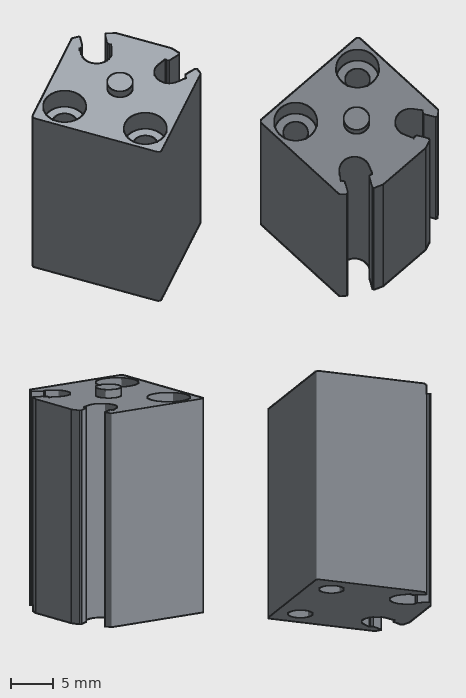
import cadquery as cq
import math

side = 16.0
half_side = side / 2
total_height = 26.5
rod_exposed = 1.0
housing_height = total_height - rod_exposed

front_corner_radius = 0.4
side_corner_radius = 0.3
rear_flat_half_width = 3.45
side_flat_end_y = 5.43

mount_offset = 5.0
mount_hole_diameter = 2.9
counterbore_diameter = 5.0
counterbore_depth = 2.75

slot_center_x = 4.53
slot_center_y = 4.35
slot_angle = 60.0
slot_radius = 1.78
flank_half_width = 1.9
flank_end = 0.93
lip_half_width = 1.45
lip_start = 0.98
lip_bevel = 0.2
mouth_face = 2.8
mouth_bevel = 0.15
mouth_half_width = lip_half_width + mouth_bevel
cutter_end = mouth_face + 1.32

rod_diameter = 3.0


def slot_point(along, across):
    """Plan position of a point given along and across the right-hand slot axis."""
    axis_x = math.cos(math.radians(slot_angle))
    axis_y = math.sin(math.radians(slot_angle))
    x = slot_center_x + along * axis_x + across * axis_y
    y = slot_center_y + along * axis_y - across * axis_x
    return (x, y)


def make_block():
    """Square block whose rear corners slope away to the slot mouths."""
    side_corner = (half_side, side_flat_end_y)
    right_edge = [
        (half_side, -half_side),
        side_corner,
        slot_point(mouth_face, mouth_half_width),
        slot_point(mouth_face, -mouth_half_width),
        (rear_flat_half_width, half_side),
    ]
    left_edge = [(-x, y) for x, y in reversed(right_edge)]
    block = cq.Workplane("XY").polyline(right_edge + left_edge).close().extrude(housing_height)
    block = block.edges("|Z and <Y").fillet(front_corner_radius)
    for x in (-half_side, half_side):
        side_edge_middle = (x, side_corner[1], housing_height / 2)
        block = block.edges(cq.NearestToPointSelector(side_edge_middle)).fillet(side_corner_radius)
    return block


def make_slot_cutter():
    """Full-height cutter for the right-hand slot."""
    reach = math.hypot(flank_end, flank_half_width)
    tangent_angle = math.atan2(flank_half_width, flank_end) + math.acos(slot_radius / reach)
    tangent_along = slot_radius * math.cos(tangent_angle)
    tangent_across = slot_radius * math.sin(tangent_angle)

    wall = [
        (flank_end, flank_half_width),
        (lip_start, lip_half_width + lip_bevel),
        (lip_start + lip_bevel, lip_half_width),
        (mouth_face - mouth_bevel, lip_half_width),
        (mouth_face, mouth_half_width),
        (cutter_end, mouth_half_width),
    ]
    right_wall = [slot_point(along, across) for along, across in wall]
    left_wall = [slot_point(along, -across) for along, across in reversed(wall)]
    return (
        cq.Workplane("XY")
        .moveTo(*slot_point(tangent_along, -tangent_across))
        .threePointArc(slot_point(-slot_radius, 0), slot_point(tangent_along, tangent_across))
        .polyline(right_wall + left_wall, includeCurrent=True)
        .close()
        .extrude(housing_height)
    )


def make_housing():
    slot = make_slot_cutter()
    housing = make_block().cut(slot).cut(slot.mirror("YZ"))
    mounts = [(-mount_offset, -mount_offset), (mount_offset, -mount_offset)]
    return (
        housing.faces(">Z")
        .workplane(origin=(0, 0, housing_height))
        .pushPoints(mounts)
        .cboreHole(mount_hole_diameter, counterbore_diameter, counterbore_depth)
    )


def make_rod():
    """Round rod end standing on the top face of the housing."""
    return (
        cq.Workplane("XY")
        .workplane(offset=housing_height)
        .circle(rod_diameter / 2)
        .extrude(rod_exposed)
    )


housing = make_housing()
rod = make_rod()
result = cq.Compound.makeCompound([housing.val(), rod.val()])